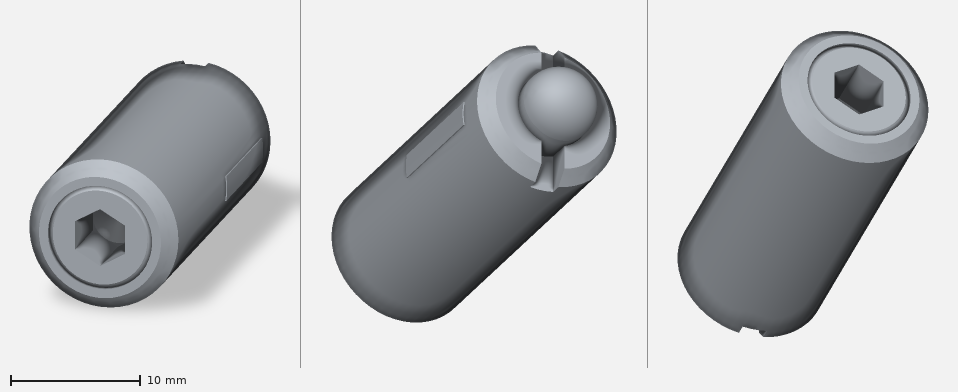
import cadquery as cq
import math

total_length = 32.0
body_diameter = 12.0
body_length = 28.0
body_chamfer = 1.1

pin_diameter = 6.0

slot_width = 2.0
slot_depth = 2.0

screw_diameter = 8.4
screw_chamfer = 0.4

hex_across_flats = 4.0
hex_depth = 5.0
drill_point_angle = 118.0

strip_start = 14.45
strip_length = 10.08
strip_width = 2.0
overall_width = 12.1

body_radius = body_diameter / 2
pin_radius = pin_diameter / 2
screw_radius = screw_diameter / 2
hex_inradius = hex_across_flats / 2


def revolve_about_y(profile):
    """Turn a closed XY profile into a solid around the Y axis."""
    return profile.close().revolve(360, (0, 0, 0), (0, 1, 0))


def make_body():
    cylinder = cq.Workplane("XZ").circle(body_radius).extrude(-body_length)
    return cylinder.faces("<Y or >Y").chamfer(body_chamfer)


def make_slot():
    return cq.Workplane("XY").box(slot_width, slot_depth, body_diameter).translate(
        (0, body_length - slot_depth / 2, 0)
    )


def make_pin():
    pin_base = body_length - slot_depth
    nose_centre = total_length - pin_radius
    nose_mid = pin_radius * math.sqrt(0.5)
    profile = (
        cq.Workplane("XY")
        .moveTo(0, pin_base)
        .lineTo(pin_radius, pin_base)
        .lineTo(pin_radius, nose_centre)
        .threePointArc((nose_mid, nose_centre + nose_mid), (0, total_length))
    )
    return revolve_about_y(profile)


def make_screw_groove():
    """V-groove left between the bore and the chamfered rim of the screw."""
    profile = (
        cq.Workplane("XY")
        .moveTo(screw_radius - screw_chamfer, 0)
        .lineTo(screw_radius, 0)
        .lineTo(screw_radius, screw_chamfer)
    )
    return revolve_about_y(profile)


def make_socket():
    corner_diameter = hex_across_flats / math.cos(math.pi / 6)
    hexagon = (
        cq.Workplane("XZ")
        .transformed(rotate=(0, 0, 90))
        .polygon(6, corner_diameter)
        .extrude(-hex_depth)
    )
    point_depth = hex_inradius / math.tan(math.radians(drill_point_angle / 2))
    point_profile = (
        cq.Workplane("XY")
        .moveTo(0, hex_depth)
        .lineTo(hex_inradius, hex_depth)
        .lineTo(0, hex_depth + point_depth)
    )
    return hexagon.union(revolve_about_y(point_profile))


def make_strip():
    """Low pad whose outer face is concentric with the body."""
    strip_radius = overall_width - body_radius
    envelope = cq.Workplane("XZ").circle(strip_radius).extrude(-body_length)
    block = cq.Workplane("XY").box(
        strip_radius, strip_length, strip_width, centered=(False, False, True)
    ).translate((0, strip_start, 0))
    return envelope.intersect(block)


result = (
    make_body()
    .cut(make_slot())
    .union(make_pin())
    .union(make_strip())
    .cut(make_screw_groove())
    .cut(make_socket())
)